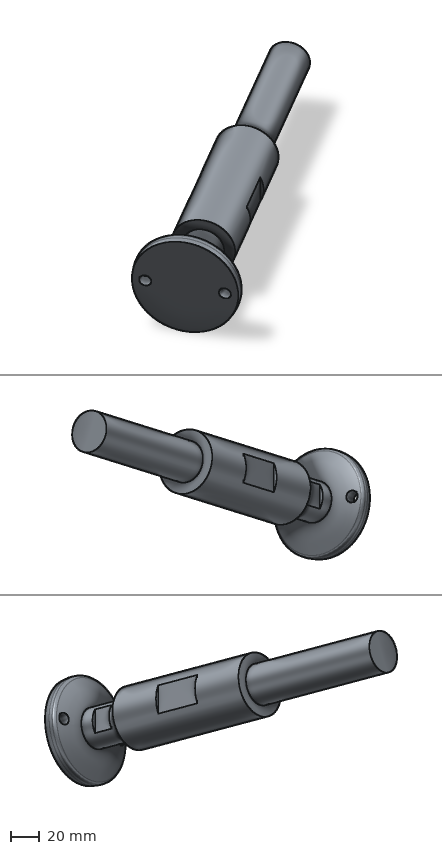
import cadquery as cq
import math

TOTAL_LENGTH = 277.0

PLATE_DIAMETER = 78.0
UNDERSIDE_DIAMETER = 77.0
TAPER_HEIGHT = 4.2
RIM_HEIGHT = 9.0
SHOULDER_RADIUS = 2.5
PLATE_HEIGHT = 13.3
DOME_BULGE = 0.5
SELECTION_MARGIN = 0.3

HOLE_DIAMETER = 8.5
HOLE_OFFSET = 28.8
HOLE_TILT = 10.0

ROD_DIAMETER = 30.0
STEM_FLAT_WIDTH = 24.5
STEM_FLAT_START = 23.5
STEM_FLAT_LENGTH = 15.2

SLEEVE_DIAMETER = 46.0
SLEEVE_START = 48.8
SLEEVE_LENGTH = 115.2
SLEEVE_FLAT_WIDTH = 41.0
SLEEVE_FLAT_LENGTH = 35.7


def cylinder(diameter, start, length):
    """Cylinder along +Y, beginning at Y = start."""
    direction = cq.Vector(0, 1, 0)
    return cq.Workplane(cq.Solid.makeCylinder(diameter / 2, length, cq.Vector(0, start, 0), direction))


def cut_wrench_flats(body, diameter, width, start, length):
    """Cut two parallel flats, facing -X and +X, into a cylindrical body."""
    for side in (-1, 1):
        cutter = cq.Workplane().box(diameter, length, diameter)
        body = body.cut(cutter.translate((side * (width + diameter) / 2, start + length / 2, 0)))
    return body


def make_plate():
    """Domed round plate with a tapered lower rim, a rounded shoulder and two anchor holes."""
    stem_radius = ROD_DIAMETER / 2
    rim_radius = PLATE_DIAMETER / 2
    dome_middle = (
        (stem_radius + rim_radius) / 2,
        (PLATE_HEIGHT + RIM_HEIGHT) / 2 + DOME_BULGE,
    )
    plate = (
        cq.Workplane("XY")
        .lineTo(UNDERSIDE_DIAMETER / 2, 0)
        .lineTo(rim_radius, TAPER_HEIGHT)
        .lineTo(rim_radius, RIM_HEIGHT)
        .threePointArc(dome_middle, (stem_radius, PLATE_HEIGHT))
        .lineTo(0, PLATE_HEIGHT)
        .close()
        .revolve(360, (0, 0, 0), (0, 1, 0))
    )
    shoulder = cq.selectors.BoxSelector(
        (-PLATE_DIAMETER, RIM_HEIGHT - SELECTION_MARGIN, -PLATE_DIAMETER),
        (PLATE_DIAMETER, RIM_HEIGHT + SELECTION_MARGIN, PLATE_DIAMETER),
    )
    plate = plate.edges("%CIRCLE").edges(shoulder).fillet(SHOULDER_RADIUS)
    tilt = math.radians(HOLE_TILT)
    for side in (-1, 1):
        direction = cq.Vector(side * math.sin(tilt), math.cos(tilt), 0)
        start = cq.Vector(side * HOLE_OFFSET, 0, 0) - direction * PLATE_HEIGHT
        hole = cq.Solid.makeCylinder(HOLE_DIAMETER / 2, 3 * PLATE_HEIGHT, start, direction)
        plate = plate.cut(cq.Workplane(hole))
    return plate


def make_foot():
    """Plate and the long rod standing on it, with wrench flats near the plate."""
    rod = cylinder(ROD_DIAMETER, 0, TOTAL_LENGTH)
    rod = cut_wrench_flats(rod, ROD_DIAMETER, STEM_FLAT_WIDTH, STEM_FLAT_START, STEM_FLAT_LENGTH)
    return make_plate().union(rod)


def make_sleeve():
    """Sleeve around the rod, with wrench flats at the middle of its length."""
    sleeve = cylinder(SLEEVE_DIAMETER, SLEEVE_START, SLEEVE_LENGTH)
    flat_start = SLEEVE_START + (SLEEVE_LENGTH - SLEEVE_FLAT_LENGTH) / 2
    sleeve = cut_wrench_flats(sleeve, SLEEVE_DIAMETER, SLEEVE_FLAT_WIDTH, flat_start, SLEEVE_FLAT_LENGTH)
    return sleeve.cut(cylinder(ROD_DIAMETER, SLEEVE_START, SLEEVE_LENGTH))


foot = make_foot()
sleeve = make_sleeve()

result = cq.Compound.makeCompound([foot.val(), sleeve.val()])